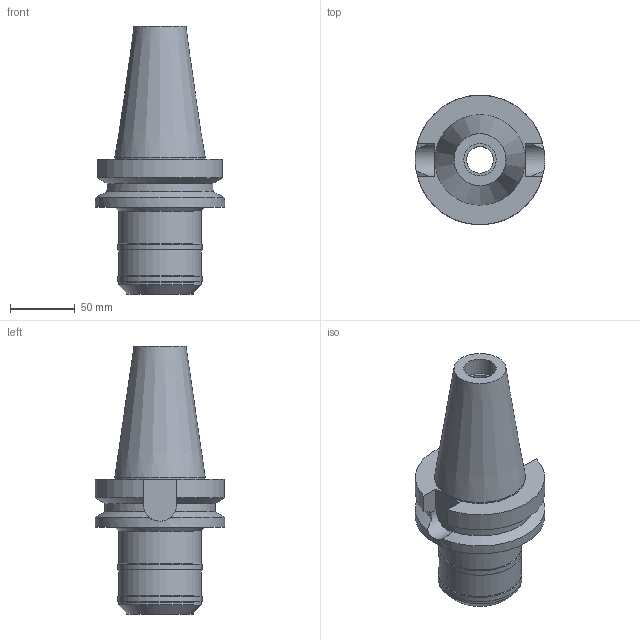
import cadquery as cq


gauge_diameter = 69.85
taper_length = 101.8
taper_ratio = 7 / 24
taper_land = 1.0

flange_diameter = 100.0
groove_diameter = 85.4
upper_rim_height = 14.4
groove_bevel_height = 4.4
groove_floor_height = 6.3
flange_height = 37.0

nose_length = 105.0
nose_diameter = 64.0
neck_bevel_height = 3.0
neck_bevel_width = 2.75
nose_tip_diameter = 51.0
nose_tip_height = 7.0

ring_diameter = 65.0
ring_height = 5.0
ring_edge_height = 0.5
ring_bottoms = (9.0, 34.0)

slot_width = 25.7
slot_depth = 32.4
slot_floor_offset = 35.2

bore_diameter = 25.0
bore_depth = 13.5
through_diameter = 20.75

gauge_radius = gauge_diameter / 2
taper_top_radius = gauge_radius - taper_length * taper_ratio / 2
flange_radius = flange_diameter / 2
groove_radius = groove_diameter / 2
nose_radius = nose_diameter / 2
flange_top = -taper_land
flange_bottom = flange_top - flange_height
upper_rim_bottom = flange_top - upper_rim_height
groove_floor_top = upper_rim_bottom - groove_bevel_height
groove_floor_bottom = groove_floor_top - groove_floor_height
lower_rim_top = groove_floor_bottom - groove_bevel_height
nose_bottom = -nose_length


def revolve_profile(points):
    """Revolve a closed (radius, height) outline about Z."""
    return cq.Workplane("YZ").polyline(points).close().revolve(360, (0, 0), (0, 1))


def make_body():
    return revolve_profile([
        (0, taper_length),
        (taper_top_radius, taper_length),
        (gauge_radius, 0),
        (gauge_radius, flange_top),
        (flange_radius, flange_top),
        (flange_radius, upper_rim_bottom),
        (groove_radius, groove_floor_top),
        (groove_radius, groove_floor_bottom),
        (flange_radius, lower_rim_top),
        (flange_radius, flange_bottom),
        (nose_radius + neck_bevel_width, flange_bottom),
        (nose_radius, flange_bottom - neck_bevel_height),
        (nose_radius, nose_bottom + nose_tip_height),
        (nose_tip_diameter / 2, nose_bottom),
        (0, nose_bottom),
    ])


def make_ring(bottom):
    """Raised ring whose two edges slope down to the nose surface."""
    top = bottom + ring_height
    ring_radius = ring_diameter / 2
    return revolve_profile([
        (0, bottom),
        (nose_radius, bottom),
        (ring_radius, bottom + ring_edge_height),
        (ring_radius, top - ring_edge_height),
        (nose_radius, top),
        (0, top),
    ])


def make_drive_slot():
    """Round-bottomed slot, open at the flange top and rim on the +X side."""
    half_width = slot_width / 2
    slot_bottom = flange_top - slot_depth
    arc_center = slot_bottom + half_width
    return (
        cq.Workplane("YZ", origin=(slot_floor_offset, 0, 0))
        .moveTo(-half_width, flange_top)
        .lineTo(-half_width, arc_center)
        .threePointArc((0, slot_bottom), (half_width, arc_center))
        .lineTo(half_width, flange_top)
        .close()
        .extrude(flange_radius)
    )


def make_bore():
    through = cq.Workplane("XY", origin=(0, 0, nose_bottom)).circle(through_diameter / 2)
    through = through.extrude(nose_length + taper_length)
    counterbore = cq.Workplane("XY", origin=(0, 0, taper_length)).circle(bore_diameter / 2)
    return through.union(counterbore.extrude(-bore_depth))


holder = make_body()
for ring_bottom in ring_bottoms:
    holder = holder.union(make_ring(nose_bottom + ring_bottom))

drive_slot = make_drive_slot()
for slot_angle in (0, 180):
    holder = holder.cut(drive_slot.rotate((0, 0, 0), (0, 0, 1), slot_angle))

result = holder.cut(make_bore())